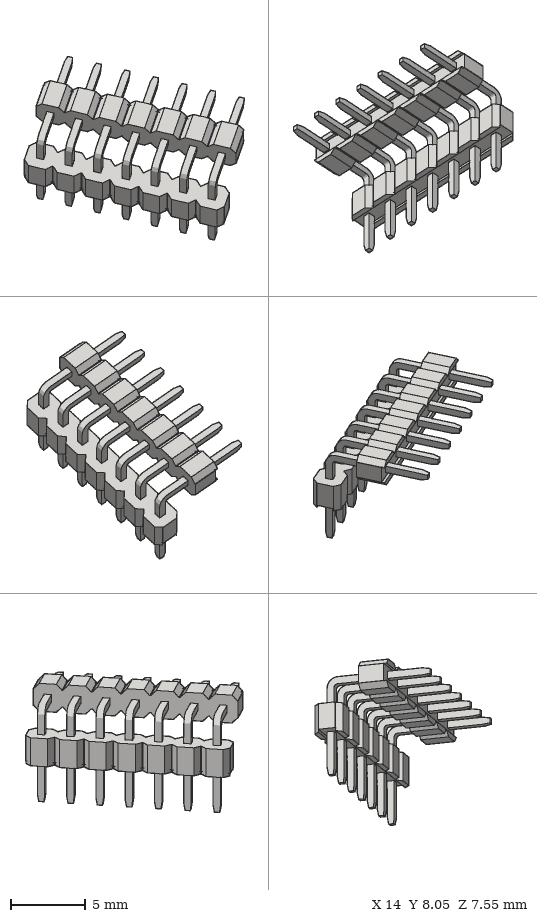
import cadquery as cq


row_length = 14.0
pin_count = 7
pitch = row_length / pin_count

strip_width = pitch
strip_depth = pitch
cell_flat = 1.18
web_width = 1.2
neck_length = 0.05
groove_depth = 0.2

pin_size = 0.5
tip_size = 0.35
tip_length = 0.5
inner_bend_radius = 0.25
outer_bend_radius = inner_bend_radius + pin_size
horizontal_reach = 7.05
vertical_reach = 6.55

tail_length = 2.8
horizontal_strip_start = horizontal_reach - tail_length - strip_depth
vertical_strip_start = vertical_reach - tail_length - strip_depth

pin_positions = [(i - (pin_count - 1) / 2) * pitch for i in range(pin_count)]


def make_strip():
    """Notched strip along X, its pins running along +Z from the face at Z = 0."""
    cell_length = pitch - neck_length
    strip = cq.Workplane("XY").box(row_length, web_width, strip_depth, centered=(True, True, False))
    half_cell = cell_length / 2
    half_flat = cell_flat / 2
    half_web = web_width / 2
    half_width = strip_width / 2
    for x in pin_positions:
        cell = (
            cq.Workplane("XY")
            .polyline([
                (x - half_cell, -half_web),
                (x - half_flat, -half_width),
                (x + half_flat, -half_width),
                (x + half_cell, -half_web),
                (x + half_cell, half_web),
                (x + half_flat, half_width),
                (x - half_flat, half_width),
                (x - half_cell, half_web),
            ])
            .close()
            .extrude(strip_depth)
        )
        strip = strip.union(cell)
    groove = (
        cq.Workplane("XY", origin=(0, 0, strip_depth - groove_depth))
        .box(row_length, web_width, groove_depth, centered=(True, True, False))
    )
    return strip.cut(groove)


def make_tip():
    """Tapered pin end, rising along +Z from the full pin section at Z = 0."""
    return (
        cq.Workplane("XY")
        .rect(pin_size, pin_size)
        .workplane(offset=tip_length)
        .rect(tip_size, tip_size)
        .loft(ruled=True)
    )


def along_y(body, distance):
    """Turn a body built along +Z to point along +Y, starting at the given Y."""
    return body.rotate((0, 0, 0), (1, 0, 0), -90).translate((0, distance, 0))


def along_minus_z(body, distance):
    """Turn a body built along +Z to point along -Z, starting at the given depth."""
    return body.rotate((0, 0, 0), (1, 0, 0), 180).translate((0, 0, -distance))


def make_pin():
    """One bent square pin, centred on X = 0."""
    half = pin_size / 2
    shank_y = horizontal_reach - tip_length
    shank_z = -(vertical_reach - tip_length)
    pin = (
        cq.Workplane("YZ")
        .polyline([
            (-half, half),
            (shank_y, half),
            (shank_y, -half),
            (half, -half),
            (half, shank_z),
            (-half, shank_z),
        ])
        .close()
        .extrude(half, both=True)
    )
    pin = pin.edges(cq.selectors.NearestToPointSelector((0, -half, half))).fillet(outer_bend_radius)
    pin = pin.edges(cq.selectors.NearestToPointSelector((0, half, -half))).fillet(inner_bend_radius)
    pin = pin.union(along_y(make_tip(), shank_y))
    return pin.union(along_minus_z(make_tip(), -shank_z))


strip_body = make_strip()
result = along_y(strip_body, horizontal_strip_start)
result = result.union(along_minus_z(strip_body, vertical_strip_start))

pin_body = make_pin()
for pin_x in pin_positions:
    result = result.union(pin_body.translate((pin_x, 0, 0)))